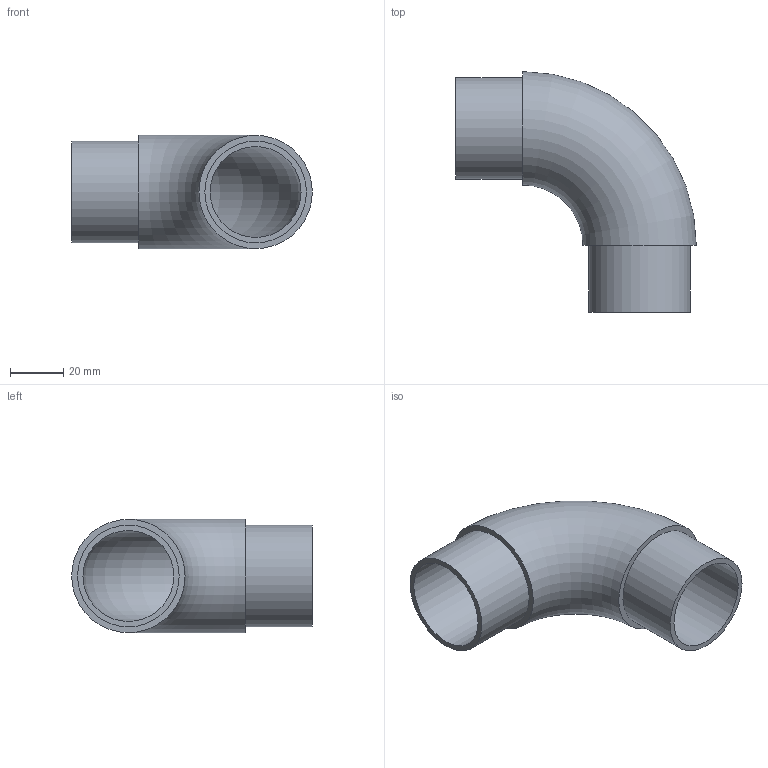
import cadquery as cq

OVERALL_LENGTH = 90.0
BEND_DIAMETER = 42.4
SPIGOT_DIAMETER = 38.0
BORE_DIAMETER = 34.0
SPIGOT_LENGTH = 25.0
BEND_ANGLE = 90.0

BEND_RADIUS = OVERALL_LENGTH - SPIGOT_LENGTH - BEND_DIAMETER / 2


def bend_rod(diameter):
    """Solid quarter bend from the +X axis to the +Y axis, curving about Z."""
    return (
        cq.Workplane("XZ")
        .center(BEND_RADIUS, 0)
        .circle(diameter / 2)
        .revolve(BEND_ANGLE, (-BEND_RADIUS, 0), (-BEND_RADIUS, 1))
    )


def spigot_rods(diameter):
    """Straight solid rods leaving the two bend ends along -Y and -X."""
    along_y = (
        cq.Workplane("XZ")
        .center(BEND_RADIUS, 0)
        .circle(diameter / 2)
        .extrude(SPIGOT_LENGTH)
    )
    along_x = (
        cq.Workplane("YZ")
        .center(BEND_RADIUS, 0)
        .circle(diameter / 2)
        .extrude(-SPIGOT_LENGTH)
    )
    return along_y, along_x


def elbow_rod(bend_diameter, spigot_diameter):
    """Bend joined to both of its straight ends."""
    elbow = bend_rod(bend_diameter)
    for spigot in spigot_rods(spigot_diameter):
        elbow = elbow.union(spigot)
    return elbow


outside = elbow_rod(BEND_DIAMETER, SPIGOT_DIAMETER)
bore = elbow_rod(BORE_DIAMETER, BORE_DIAMETER)
result = outside.cut(bore)